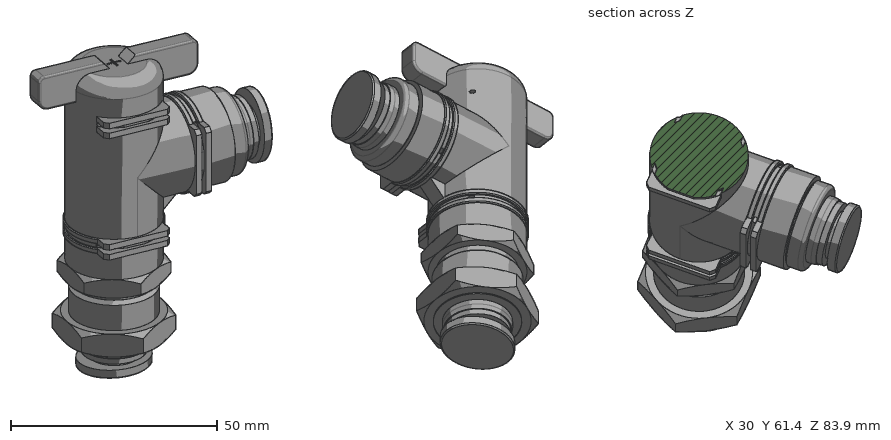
import cadquery as cq
import math

TOTAL_HEIGHT = 83.9
BODY_R = 12.0
DOME_TOP = 81.9
DOME_FILLET = 4.0
BODY_BOTTOM = 28.8
PORT_Z = 55.7
PORT_BODY_END = 27.0
PORT_END = 39.35
JOINT_OFFSET = 18.0
UPPER_JOINT_OFFSET = 15.0

RELEASE_WIDTH = 16.5
RELEASE_LENGTH = 19.1
RELEASE_HEIGHT = 2.35
RELEASE_CHAMFER = 0.3
STEM_R = 6.0
STEM_TOP = 3.8
SLEEVE_END_R = 8.05
SLEEVE_STEP = 5.3
TAPER_END_R = 8.3
SLEEVE_R = 8.55
TAPER_TOP = 6.5
SLEEVE_TOP = 7.9

LIP_R = 10.7
BIG_NUT_BOTTOM = 8.2
BIG_NUT_TOP = 14.4
BIG_NUT_FLATS = 26.0
SMALL_NUT_BOTTOM = 23.75
SMALL_NUT_FLATS = 24.0
NUT_BEVEL_ANGLE = 30
THREAD_R = 11.1
THREAD_TOP = 22.2
THREAD_CHAMFER = 0.9
NECK_R = 10.1

CAP_R = 11.1
CAP_FILLET = 1.0
CAP_BACK = 11.9
CAP_NECK_R = 10.6

RING_R = 12.4
RING_CHAMFER = 0.25
RING_THICKNESS = 1.5
RING_GAP = 1.2
GROOVE_R = 11.75
TAB_REACH = 12.6
TAB_HALF_WIDTH = 9.1
TAB_CHAMFER = 1.1
SLOT_FLOOR_X = 11.5
PIN_D = 1.0
PIN_OFFSET = 8.5
CORE_R = 10.9

WEB_LEG = 4.7
WEB_THICKNESS = 4.0
WEB_SINK = 1.7

HANDLE_WIDTH = 4.9
HANDLE_LENGTH = 44.0
HANDLE_BOTTOM = 74.75
HANDLE_TOP_CORNER = 1.5
HANDLE_BOTTOM_CORNER = 2.8
HANDLE_EDGE_FILLET = 0.5
NOTCH_FLOOR_HALF = 2.5
NOTCH_TOP_BACK = 4.6
NOTCH_TOP_FRONT = 4.3
CROSS_LENGTH = 3.5
CROSS_WIDTH = 0.4
CROSS_DEPTH = 0.25


def disc(radius, bottom, top):
    return cq.Workplane("XY").workplane(offset=bottom).circle(radius).extrude(top - bottom)


def on_port(shape):
    """Move a shape built along Z so its base is the side port's outer end, pointing inward."""
    return shape.rotate((0, 0, 0), (1, 0, 0), 90).translate((0, PORT_END, PORT_Z))


def collar():
    """Oval release ring, stem and stepped sleeve, standing on Z = 0."""
    ring = cq.Workplane("XY").ellipse(RELEASE_WIDTH / 2, RELEASE_LENGTH / 2).extrude(RELEASE_HEIGHT)
    ring = ring.faces("<Z").edges().chamfer(RELEASE_CHAMFER)
    sleeve = (
        cq.Workplane("XZ")
        .moveTo(0, 0)
        .lineTo(STEM_R, 0)
        .lineTo(STEM_R, STEM_TOP)
        .lineTo(SLEEVE_END_R, STEM_TOP)
        .lineTo(SLEEVE_END_R, SLEEVE_STEP)
        .lineTo(TAPER_END_R, SLEEVE_STEP)
        .lineTo(SLEEVE_R, TAPER_TOP)
        .lineTo(SLEEVE_R, SLEEVE_TOP)
        .lineTo(0, SLEEVE_TOP)
        .close()
        .revolve(360, (0, 0, 0), (0, 1, 0))
    )
    return ring.union(sleeve)


def hex_nut(flats, bottom, top):
    """Hexagon with corners on X, bevelled at both ends by cones that start at the flats."""
    corner_r = flats / math.sqrt(3)
    flat_r = flats / 2
    drop = (corner_r - flat_r) * math.tan(math.radians(NUT_BEVEL_ANGLE))
    hexagon = cq.Workplane("XY").workplane(offset=bottom).polygon(6, 2 * corner_r).extrude(top - bottom)
    envelope = (
        cq.Workplane("XZ")
        .polyline([
            (0, bottom), (flat_r, bottom), (corner_r, bottom + drop),
            (corner_r, top - drop), (flat_r, top), (0, top),
        ])
        .close()
        .revolve(360, (0, 0, 0), (0, 1, 0))
    )
    return hexagon.intersect(envelope)


def lower_stem():
    """Bulkhead fitting from the bottom collar up to the body."""
    thread = disc(THREAD_R, BIG_NUT_TOP, THREAD_TOP).faces(">Z").edges().chamfer(THREAD_CHAMFER)
    return (
        collar()
        .union(disc(LIP_R, SLEEVE_TOP, BIG_NUT_BOTTOM))
        .union(hex_nut(BIG_NUT_FLATS, BIG_NUT_BOTTOM, BIG_NUT_TOP))
        .union(thread)
        .union(disc(NECK_R, THREAD_TOP, SMALL_NUT_BOTTOM))
        .union(hex_nut(SMALL_NUT_FLATS, SMALL_NUT_BOTTOM, BODY_BOTTOM))
    )


def side_port():
    """Side fitting from its collar to the mitre with the body, along Y."""
    barrel_start = PORT_END - PORT_BODY_END
    cap = disc(CAP_R, SLEEVE_TOP, CAP_BACK).faces("<Z").edges().fillet(CAP_FILLET)
    fitting = (
        collar()
        .union(cap)
        .union(disc(CAP_NECK_R, CAP_BACK, barrel_start))
        .union(disc(BODY_R, barrel_start, PORT_END))
    )
    return on_port(fitting)


def web():
    """Triangular web at 45 degrees under the port, sunk into both barrels."""
    corner_y = BODY_R - WEB_SINK
    corner_z = PORT_Z - BODY_R + WEB_SINK
    leg = WEB_LEG + 2 * WEB_SINK
    return (
        cq.Workplane("YZ")
        .polyline([(corner_y, corner_z), (corner_y + leg, corner_z), (corner_y, corner_z - leg)])
        .close()
        .extrude(WEB_THICKNESS / 2, both=True)
    )


def plate_bottoms():
    """Lower faces of the two clip plates around a joint centred on Z = 0."""
    return (RING_GAP / 2, -RING_GAP / 2 - RING_THICKNESS)


def joint_tabs():
    tabs = cq.Workplane("XY")
    for bottom in plate_bottoms():
        tab = (
            cq.Workplane("XY", origin=(TAB_REACH / 2, 0, bottom))
            .rect(TAB_REACH, 2 * TAB_HALF_WIDTH)
            .extrude(RING_THICKNESS)
            .edges("|Z and >X")
            .chamfer(TAB_CHAMFER)
        )
        tabs = tabs.union(tab)
    return tabs


def joint_rings():
    rings = cq.Workplane("XY")
    for bottom in plate_bottoms():
        ring = disc(RING_R, bottom, bottom + RING_THICKNESS).edges().chamfer(RING_CHAMFER)
        rings = rings.union(ring)
    return rings


def joint_slot():
    """Flat-bottomed clip slot on the +X side, between the plates."""
    depth = TAB_REACH - SLOT_FLOOR_X
    return cq.Workplane("XY").box(depth, 2 * TAB_HALF_WIDTH, RING_GAP).translate(
        (SLOT_FLOOR_X + depth / 2, 0, 0)
    )


def joint_groove():
    half_gap = RING_GAP / 2
    return disc(RING_R, -half_gap, half_gap).cut(disc(GROOVE_R, -half_gap, half_gap))


def joint_pins():
    """Two holes along X, right through the joint."""
    return (
        cq.Workplane("YZ")
        .pushPoints([(-PIN_OFFSET, 0), (PIN_OFFSET, 0)])
        .circle(PIN_D / 2)
        .extrude(TAB_REACH, both=True)
    )


def blind_pins():
    """The same holes, stopped on both sides by the body's core."""
    return joint_pins().cut(disc(CORE_R, -PIN_D, PIN_D))


def handle():
    """Rounded bar across the dome, with a notch over the middle."""
    height = TOTAL_HEIGHT - HANDLE_BOTTOM
    bar = (
        cq.Workplane("XY")
        .box(HANDLE_WIDTH, HANDLE_LENGTH, height)
        .translate((0, 0, HANDLE_BOTTOM + height / 2))
        .edges("|X and >Z")
        .fillet(HANDLE_TOP_CORNER)
        .edges("|X and <Z")
        .fillet(HANDLE_BOTTOM_CORNER)
        .faces("<X or >X")
        .edges()
        .fillet(HANDLE_EDGE_FILLET)
    )
    notch = (
        cq.Workplane("YZ")
        .polyline([
            (-NOTCH_FLOOR_HALF, DOME_TOP), (NOTCH_FLOOR_HALF, DOME_TOP),
            (NOTCH_TOP_BACK, TOTAL_HEIGHT), (-NOTCH_TOP_FRONT, TOTAL_HEIGHT),
        ])
        .close()
        .extrude(HANDLE_WIDTH, both=True)
    )
    return bar.cut(notch)


def cross_mark():
    bar = cq.Workplane("XY").box(CROSS_LENGTH, CROSS_WIDTH, 2 * CROSS_DEPTH)
    return bar.union(bar.rotate((0, 0, 0), (0, 0, 1), 90)).translate((0, 0, DOME_TOP))


def on_lower_joint(shape):
    return shape.translate((0, 0, PORT_Z - JOINT_OFFSET))


def on_upper_joint(shape):
    return shape.translate((0, 0, PORT_Z + UPPER_JOINT_OFFSET))


def on_port_joint(shape):
    return on_port(shape.translate((0, 0, PORT_END - JOINT_OFFSET)))


ringed_joint = joint_rings().union(joint_tabs())
joint_recess = joint_groove().union(joint_slot())

result = disc(BODY_R, BODY_BOTTOM, DOME_TOP).faces(">Z").edges().fillet(DOME_FILLET)
result = result.union(web()).union(on_lower_joint(ringed_joint))
result = result.union(side_port()).union(on_port_joint(ringed_joint))
result = result.union(on_upper_joint(joint_tabs()))

result = result.cut(on_lower_joint(joint_recess)).cut(on_port_joint(joint_recess))
result = result.cut(on_upper_joint(joint_slot()))
for place_on_body in (on_lower_joint, on_upper_joint):
    result = result.cut(place_on_body(blind_pins()))
result = result.cut(on_port_joint(joint_pins()))

result = result.union(lower_stem())
result = result.union(handle()).cut(cross_mark())